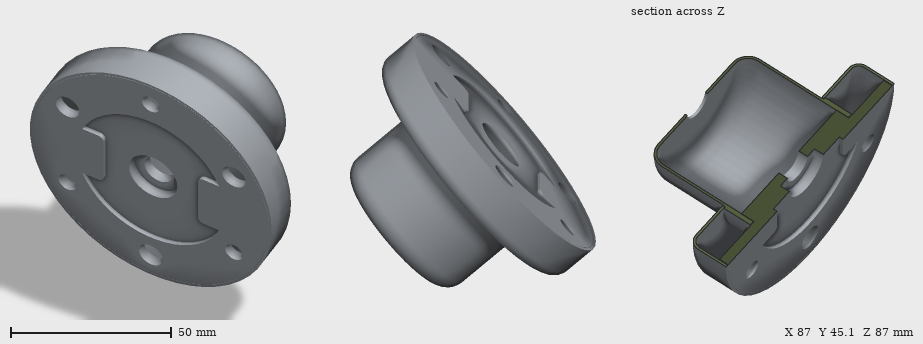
import cadquery as cq
import math

cover_radius = 43.5
cover_height = 15.0
cover_wall = 1.0
cover_edge_radius = 3.9

total_height = 45.1
hub_radius = 25.4
hub_edge_radius = 6.1
hub_wall = 1.0
collar_width = 0.9

plate_gap = 0.1
plate_thickness = 3.5
recess_radius = 26.5
recess_depth = 1.5
counterbore_radius = 8.7
counterbore_depth = 3.5
bore_radius = 5.1
bore_length = 3.5

tongue_tip_x = 17.0
tongue_width = 20.2
tongue_corner_radius = 2.0

hole_circle_radius = 34.5
large_hole_radius = 4.3
large_hole_angles = (30, 150, 270)
small_hole_radius = 3.2
small_hole_angles = (90, 210, 330)

cover_inner_radius = cover_radius - cover_wall
cover_inner_height = cover_height - cover_wall
hub_inner_radius = hub_radius - hub_wall
collar_radius = hub_radius + collar_width
plate_radius = cover_inner_radius - plate_gap
counterbore_end = recess_depth + counterbore_depth
boss_end = counterbore_end + bore_length


def cylinder(radius, start, end):
    """A cylinder around the Y axis from y = start to y = end."""
    return cq.Workplane("XZ", origin=(0, start, 0)).circle(radius).extrude(start - end)


def rounded_cylinder(radius, start, end, edge_radius):
    """A cylinder around the Y axis with its +Y edge rounded."""
    return cylinder(radius, start, end).faces(">Y").edges().fillet(edge_radius)


def make_cover():
    outside = rounded_cylinder(cover_radius, 0, cover_height, cover_edge_radius)
    inside = rounded_cylinder(cover_inner_radius, 0, cover_inner_height, cover_edge_radius - cover_wall)
    hub_opening = cylinder(hub_radius, cover_inner_height, cover_height)
    return outside.cut(inside).cut(hub_opening)


def make_hub():
    outside = rounded_cylinder(hub_radius, plate_thickness, total_height, hub_edge_radius)
    collar = cylinder(collar_radius, plate_thickness, cover_inner_height)
    inside = rounded_cylinder(
        hub_inner_radius, plate_thickness, total_height - hub_wall, hub_edge_radius - hub_wall
    )
    end_opening = cylinder(bore_radius, total_height - hub_wall, total_height)
    return outside.union(collar).cut(inside).cut(end_opening)


def make_recess():
    """The round recess in the -Y face of the plate, less the two tongues that stay standing."""
    recess = cylinder(recess_radius, 0, recess_depth)
    tongue_length = recess_radius
    for side in (-1, 1):
        tongue = (
            cq.Workplane("XZ")
            .center(side * (tongue_tip_x + tongue_length / 2), 0)
            .rect(tongue_length, tongue_width)
            .extrude(-recess_depth)
            .edges("|Y")
            .fillet(tongue_corner_radius)
        )
        recess = recess.cut(tongue)
    return recess


def make_plate_holes(radius, angles):
    points = []
    for angle in angles:
        turn = math.radians(angle)
        points.append((hole_circle_radius * math.cos(turn), hole_circle_radius * math.sin(turn)))
    return cq.Workplane("XZ").pushPoints(points).circle(radius).extrude(-plate_thickness)


def make_plate():
    disc = cylinder(plate_radius, 0, plate_thickness)
    boss = cylinder(hub_inner_radius, plate_thickness, boss_end)
    plate = disc.union(boss).cut(make_recess())
    plate = plate.cut(make_plate_holes(large_hole_radius, large_hole_angles))
    plate = plate.cut(make_plate_holes(small_hole_radius, small_hole_angles))
    plate = plate.cut(cylinder(counterbore_radius, recess_depth, counterbore_end))
    return plate.cut(cylinder(bore_radius, counterbore_end, boss_end))


cover = make_cover().solids()
hub = make_hub().solids()
plate = make_plate().solids()

result = cq.Compound.makeCompound([cover.val(), hub.val(), plate.val()])